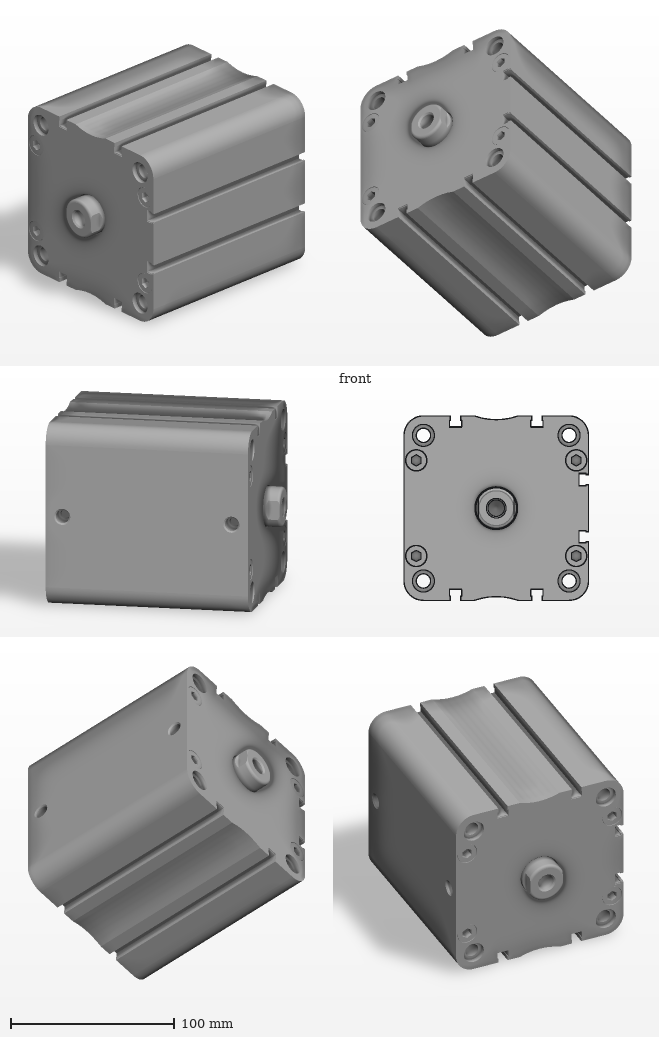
import cadquery as cq
import math

SIDE = 113.3
HALF = SIDE / 2
TOTAL_LENGTH = 137.0
ROD_PROTRUSION = 10.0
BODY_LENGTH = TOTAL_LENGTH - ROD_PROTRUSION
CORNER_RADIUS = 12.0

DIP_HALF_WIDTH = 13.4
DIP_DEPTH = 2.3

TOP_SLOT_OFFSET = 25.0
TOP_NECK_WIDTH = 6.3
TOP_SLOT_WIDTH = 7.3
TOP_LIP = 2.7
TOP_SLOT_DEPTH = 6.7
SIDE_SLOT_OFFSET = 17.5
SIDE_NECK_WIDTH = 5.8
SIDE_SLOT_WIDTH = 7.1
SIDE_LIP = 1.6
SIDE_SLOT_DEPTH = 5.8
SLOT_RELIEF = 0.4
SLOT_RELIEF_LENGTH = 0.5

MOUNT_OFFSET = 44.7
MOUNT_HOLE_DIAMETER = 8.6
MOUNT_BORE_DIAMETER = 13.5
MOUNT_BORE_DEPTH = 3.0

SCREW_X = 49.0
SCREW_Z = 29.3
SCREW_RECESS_DIAMETER = 13.2
SCREW_HEAD_DIAMETER = 12.7
SCREW_RECESS_DEPTH = 6.8
SCREW_HEAD_INSET = 0.3
HEX_ACROSS_FLATS = 6.0
HEX_DEPTH = 4.8

PORT_INSET = 10.4
PORT_MOUTH_DIAMETER = 10.1
PORT_BORE_DIAMETER = 8.4
PORT_PILOT_DIAMETER = 6.0
PORT_DEPTH = 8.2
PORT_PILOT_DEPTH = 4.1

ROD_DIAMETER = 25.0
ROD_BORE_DIAMETER = 25.5
ROD_BORE_CHAMFER = 0.4
ROD_GAP_DEPTH = 5.5
ROD_TIP_RADIUS = 1.8
FLAT_HALF_WIDTH = 11.0
FLAT_LENGTH = 7.1
THREAD_MOUTH_DIAMETER = 12.0
THREAD_DIAMETER = 10.1
THREAD_DEPTH = 20.5
DRILL_POINT_ANGLE = 118.0


def y_cylinder(diameter, y_start, length, x=0.0, z=0.0):
    """Cylinder running toward +Y from y_start."""
    circle = cq.Workplane("XZ", origin=(x, y_start, z)).circle(diameter / 2)
    return circle.extrude(-length)


def four_points(x, z):
    return [(sx * x, sz * z) for sx in (-1, 1) for sz in (-1, 1)]


def slot_cutter(neck_width, width, lip, depth, length):
    """T-slot opening upward, running back from the front face with its mouth at Z = HALF."""
    along_y = (True, False, False)
    cavity = cq.Workplane("XY").box(width, length, depth - lip, centered=along_y)
    neck = cq.Workplane("XY").box(neck_width, length, depth, centered=along_y)
    return cavity.union(neck).translate((0, 0, HALF - depth))


def make_body():
    body = cq.Workplane("XY").box(SIDE, BODY_LENGTH, SIDE, centered=(True, False, True))
    body = body.edges("|Y").fillet(CORNER_RADIUS)

    dip = (
        cq.Workplane("XZ")
        .moveTo(-DIP_HALF_WIDTH, HALF)
        .threePointArc((0, HALF - DIP_DEPTH), (DIP_HALF_WIDTH, HALF))
        .close()
        .extrude(-BODY_LENGTH)
    )
    return body.cut(dip).cut(dip.mirror("XY"))


def cut_slots(body):
    """Top and bottom slots have a deeper relief at the front, side slots a wider one."""
    top_slot = slot_cutter(TOP_NECK_WIDTH, TOP_SLOT_WIDTH, TOP_LIP, TOP_SLOT_DEPTH, BODY_LENGTH)
    top_relief = slot_cutter(
        TOP_NECK_WIDTH, TOP_SLOT_WIDTH, TOP_LIP, TOP_SLOT_DEPTH + SLOT_RELIEF, SLOT_RELIEF_LENGTH
    )
    top_slot = top_slot.union(top_relief)

    side_slot = slot_cutter(SIDE_NECK_WIDTH, SIDE_SLOT_WIDTH, SIDE_LIP, SIDE_SLOT_DEPTH, BODY_LENGTH)
    side_relief = slot_cutter(
        SIDE_NECK_WIDTH + 2 * SLOT_RELIEF,
        SIDE_SLOT_WIDTH + 2 * SLOT_RELIEF,
        SIDE_LIP,
        SIDE_SLOT_DEPTH,
        SLOT_RELIEF_LENGTH,
    )
    side_slot = side_slot.union(side_relief)
    side_slot = side_slot.rotate((0, 0, 0), (0, 1, 0), 90)
    for sign in (-1, 1):
        slot = top_slot.translate((sign * TOP_SLOT_OFFSET, 0, 0))
        body = body.cut(slot).cut(slot.mirror("XY"))
        body = body.cut(side_slot.translate((0, 0, sign * SIDE_SLOT_OFFSET)))
    return body


def cut_mount_holes(body):
    for x, z in four_points(MOUNT_OFFSET, MOUNT_OFFSET):
        body = body.cut(y_cylinder(MOUNT_HOLE_DIAMETER, 0, BODY_LENGTH, x, z))
        body = body.cut(y_cylinder(MOUNT_BORE_DIAMETER, 0, MOUNT_BORE_DEPTH, x, z))
    return body


def add_cover_screws(body):
    hex_diameter = HEX_ACROSS_FLATS / math.cos(math.pi / 6)
    for x, z in four_points(SCREW_X, SCREW_Z):
        socket = (
            cq.Workplane("XZ", origin=(x, SCREW_HEAD_INSET, z))
            .transformed(rotate=(0, 0, 90))
            .polygon(6, hex_diameter)
            .extrude(-HEX_DEPTH)
        )
        head_height = SCREW_RECESS_DEPTH - SCREW_HEAD_INSET
        head = y_cylinder(SCREW_HEAD_DIAMETER, SCREW_HEAD_INSET, head_height, x, z).cut(socket)
        body = body.cut(y_cylinder(SCREW_RECESS_DIAMETER, 0, SCREW_RECESS_DEPTH, x, z))
        body = body.union(head)
    return body


def cut_ports(body):
    """Threaded ports with a chamfered mouth and a narrower pilot hole."""
    mouth_radius = PORT_MOUTH_DIAMETER / 2
    bore_radius = PORT_BORE_DIAMETER / 2
    pilot_radius = PORT_PILOT_DIAMETER / 2
    chamfer = mouth_radius - bore_radius
    pilot_end = PORT_DEPTH + PORT_PILOT_DEPTH
    port = (
        cq.Workplane("XY")
        .polyline(
            [
                (0, 0),
                (0, mouth_radius),
                (chamfer, bore_radius),
                (PORT_DEPTH, bore_radius),
                (PORT_DEPTH, pilot_radius),
                (pilot_end, pilot_radius),
                (pilot_end, 0),
            ]
        )
        .close()
        .revolve(360, (0, 0, 0), (1, 0, 0))
    )
    for y in (PORT_INSET, BODY_LENGTH - PORT_INSET):
        body = body.cut(port.translate((-HALF, y, 0)))
    return body


def cut_rod_gap(body):
    """Clearance around the rod, with a chamfered mouth."""
    gap = y_cylinder(ROD_BORE_DIAMETER, 0, ROD_GAP_DEPTH)
    bore_radius = ROD_BORE_DIAMETER / 2
    mouth = (
        cq.Workplane("XY")
        .polyline(
            [
                (0, 0),
                (bore_radius + ROD_BORE_CHAMFER, 0),
                (bore_radius, ROD_BORE_CHAMFER),
                (0, ROD_BORE_CHAMFER),
            ]
        )
        .close()
        .revolve(360, (0, 0, 0), (0, 1, 0))
    )
    return body.cut(gap).cut(mouth)


def make_rod():
    """Rod end with a rounded tip and two wrench flats, rooted in the body."""
    rod_radius = ROD_DIAMETER / 2
    rod = y_cylinder(ROD_DIAMETER, -ROD_PROTRUSION, ROD_PROTRUSION + ROD_GAP_DEPTH)
    rod = rod.faces("<Y").edges().fillet(ROD_TIP_RADIUS)

    flat_end = -ROD_PROTRUSION + FLAT_LENGTH
    flat_depth = rod_radius - FLAT_HALF_WIDTH
    flat = (
        cq.Workplane("XY")
        .polyline(
            [
                (FLAT_HALF_WIDTH, -ROD_PROTRUSION),
                (FLAT_HALF_WIDTH, flat_end),
                (rod_radius, flat_end + flat_depth),
                (rod_radius, -ROD_PROTRUSION),
            ]
        )
        .close()
        .extrude(rod_radius, both=True)
    )
    return rod.cut(flat).cut(flat.mirror("YZ"))


def cut_thread_hole(part):
    """Blind threaded hole in the rod end, with a chamfered mouth and a drill point."""
    mouth_radius = THREAD_MOUTH_DIAMETER / 2
    thread_radius = THREAD_DIAMETER / 2
    chamfer = mouth_radius - thread_radius
    point_length = thread_radius / math.tan(math.radians(DRILL_POINT_ANGLE / 2))
    hole = (
        cq.Workplane("XY")
        .polyline(
            [
                (0, 0),
                (mouth_radius, 0),
                (thread_radius, chamfer),
                (thread_radius, THREAD_DEPTH),
                (0, THREAD_DEPTH + point_length),
            ]
        )
        .close()
        .revolve(360, (0, 0, 0), (0, 1, 0))
    )
    return part.cut(hole.translate((0, -ROD_PROTRUSION, 0)))


body = cut_slots(make_body())
body = cut_mount_holes(body)
body = add_cover_screws(body)
body = cut_ports(body)
body = cut_rod_gap(body)

result = cut_thread_hole(body.union(make_rod()))